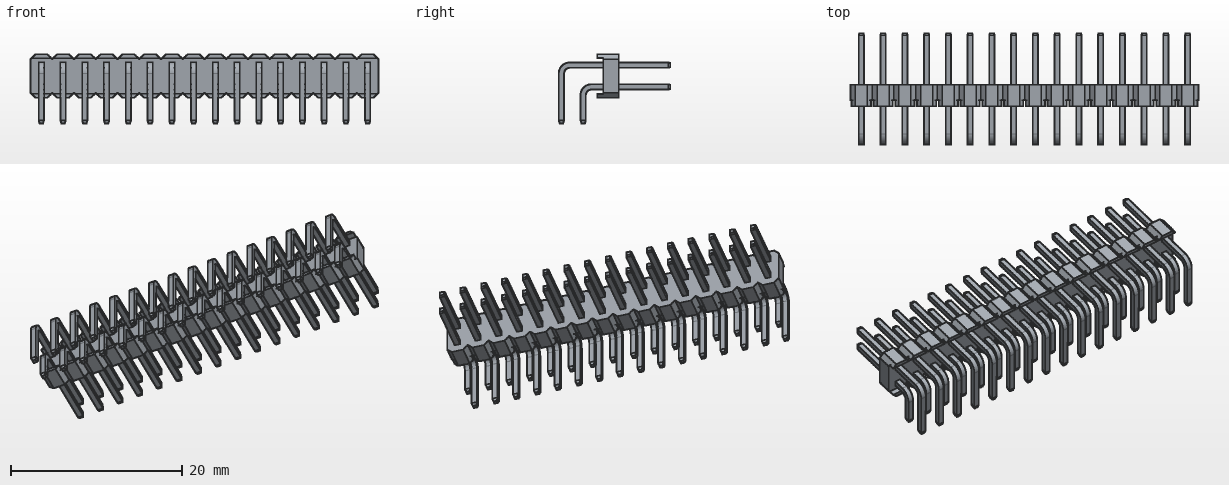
import cadquery as cq


length = 40.65
columns = 16
pin_width = 0.65
corner_cut = 0.55
core_depth = 1.83
lip_thickness = 0.45
pin_rear_length = 6.0
pin_drop = 3.0
tail_reach = 7.05
bend_radius = 1.3
rear_tip_length = 0.25
foot_tip_length = 0.35
rear_tip_inset = 0.1
foot_tip_inset = 0.12

pitch = length / columns
housing_height = 2 * pitch
housing_depth = pitch
half_height = housing_height / 2
half_width = pitch / 2
foot_z = -half_height - pin_drop
column_centers = [(i - (columns - 1) / 2) * pitch for i in range(columns)]


def housing_block():
    """One eight-sided housing cell, rear face on Y = 0, extending towards -Y."""
    shoulder = half_height - corner_cut
    flat = half_width - corner_cut
    cell = (
        cq.Workplane("XZ")
        .polyline([
            (-half_width, -shoulder), (-flat, -half_height),
            (flat, -half_height), (half_width, -shoulder),
            (half_width, shoulder), (flat, half_height),
            (-flat, half_height), (-half_width, shoulder),
        ])
        .close()
        .extrude(housing_depth)
    )
    front_recess = cq.Workplane("XY").box(
        pitch, housing_depth - core_depth, housing_height - 2 * lip_thickness,
        centered=(True, False, True),
    ).translate((0, -housing_depth, 0))
    return cell.cut(front_recess)


def tapered_tip(base_plane, tip_length, inset):
    """Square tip that narrows away from the end of a pin."""
    end_width = pin_width - 2 * inset
    return (
        cq.Workplane(base_plane)
        .rect(pin_width, pin_width)
        .workplane(offset=tip_length)
        .rect(end_width, end_width)
        .loft(ruled=True)
    )


def bent_pin(row_z, front_y):
    """Pin that runs forward at height row_z, then bends down at front_y."""
    top = row_z + pin_width / 2
    bottom = row_z - pin_width / 2
    rear = pin_rear_length - rear_tip_length
    foot = foot_z + foot_tip_length
    inner_y = front_y + pin_width
    bend_y = front_y + bend_radius
    bend_z = top - bend_radius
    inner_radius = bend_radius - pin_width
    shank = (
        cq.Workplane("YZ")
        .moveTo(rear, top)
        .lineTo(bend_y, top)
        .radiusArc((front_y, bend_z), -bend_radius)
        .lineTo(front_y, foot)
        .lineTo(inner_y, foot)
        .lineTo(inner_y, bend_z)
        .radiusArc((bend_y, bottom), inner_radius)
        .lineTo(rear, bottom)
        .close()
        .extrude(pin_width / 2, both=True)
    )
    rear_plane = cq.Plane((0, rear, row_z), xDir=(1, 0, 0), normal=(0, 1, 0))
    foot_plane = cq.Plane((0, front_y + pin_width / 2, foot), xDir=(1, 0, 0), normal=(0, 0, -1))
    return (
        shank
        .union(tapered_tip(rear_plane, rear_tip_length, rear_tip_inset))
        .union(tapered_tip(foot_plane, foot_tip_length, foot_tip_inset))
    )


column = (
    housing_block()
    .union(bent_pin(pitch / 2, -tail_reach))
    .union(bent_pin(-pitch / 2, -tail_reach + pitch))
)

result = column.translate((column_centers[0], 0, 0))
for center in column_centers[1:]:
    result = result.union(column.translate((center, 0, 0)))
result = result.clean()